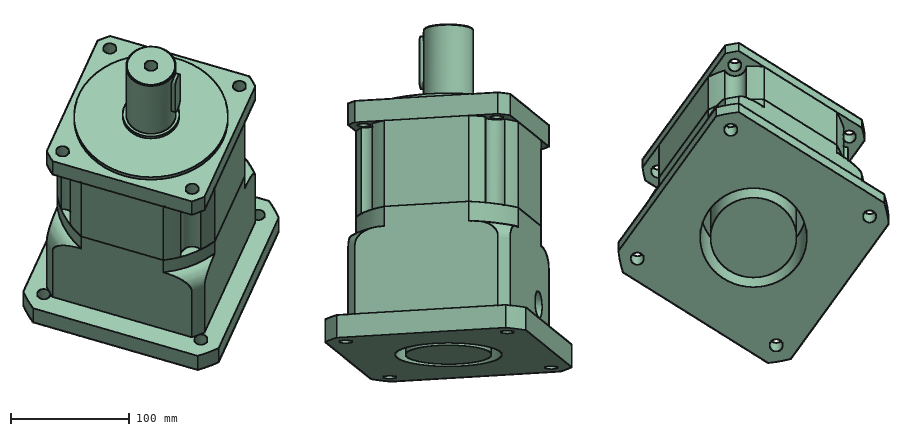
import cadquery as cq
import math


BODY_SIDE = 142.0
BODY_CORNER_RADIUS = 94.8
WAIST_CORNER_RADIUS = 80.0
BASE_SIDE = 176.0
BASE_CORNER_RADIUS = 115.0

BASE_TOP = 19.7
SHOULDER_TOP = 98.5
HOUSING_TOP = 115.3
RING_TOP = 189.8
FLANGE_TOP = 208.5
PILOT_TOP = 212.0
COLLAR_TOP = 215.0
SHAFT_TOP = 282.0

PILOT_RADIUS = 65.1
COLLAR_RADIUS = 24.0
SHAFT_RADIUS = 21.2
SHAFT_CHAMFER = 0.8
CENTRE_HOLE_DIAMETER = 11.0
CENTRE_HOLE_DEPTH = 28.2
DRILL_TIP_ANGLE = 120.0

KEY_WIDTH = 12.0
KEY_BOTTOM = 231.5
KEY_LENGTH = 45.7
KEY_OUTER_X = 24.0

BOLT_HOLE_DIAMETER = 11.0
FLANGE_BOLT_OFFSET = 58.5
BASE_BOLT_OFFSET = 70.8
SCALLOP_RADIUS = 10.0

HUB_RADIUS = 36.5
CAVITY_RADIUS = 45.0
CAVITY_DEPTH = 67.7
ACCESS_HOLE_RADIUS = 11.3
ACCESS_HOLE_Y = -29.0
ACCESS_HOLE_Z = 45.7


def round_cornered_prism(side, corner_radius, bottom, top):
    """Square prism whose corners are cut by a cylinder about the axis."""
    height = top - bottom
    square = cq.Workplane("XY").workplane(offset=bottom).rect(side, side).extrude(height)
    return square.intersect(cylinder(corner_radius, bottom, top))


def cylinder(radius, bottom, top):
    return cq.Workplane("XY").workplane(offset=bottom).circle(radius).extrude(top - bottom)


def corner_cylinders(offset, radius, bottom, top):
    """Four vertical cylinders, one near each corner."""
    spacing = 2 * offset
    centres = cq.Workplane("XY").workplane(offset=bottom).rect(spacing, spacing, forConstruction=True)
    return centres.vertices().circle(radius).extrude(top - bottom)


def make_input_housing():
    """Base plate and square housing with rounded shoulders and a central input hub."""
    base = round_cornered_prism(BASE_SIDE, BASE_CORNER_RADIUS, 0, BASE_TOP)
    base = base.cut(corner_cylinders(BASE_BOLT_OFFSET, BOLT_HOLE_DIAMETER / 2, 0, BASE_TOP))

    shoulder_radius = BODY_CORNER_RADIUS - WAIST_CORNER_RADIUS
    turned = cylinder(BODY_CORNER_RADIUS, BASE_TOP, SHOULDER_TOP).faces(">Z").edges().fillet(shoulder_radius)
    turned = turned.union(cylinder(WAIST_CORNER_RADIUS, BASE_TOP, HOUSING_TOP))
    height = HOUSING_TOP - BASE_TOP
    block = cq.Workplane("XY").workplane(offset=BASE_TOP).rect(BODY_SIDE, BODY_SIDE).extrude(height)
    housing = base.union(block.intersect(turned))

    access_hole = (
        cq.Workplane("YZ")
        .center(ACCESS_HOLE_Y, ACCESS_HOLE_Z)
        .circle(ACCESS_HOLE_RADIUS)
        .extrude(-BODY_SIDE / 2)
    )
    hub = cylinder(HUB_RADIUS, 0, CAVITY_DEPTH)
    cavity = cylinder(CAVITY_RADIUS, 0, CAVITY_DEPTH).union(access_hole).cut(hub)
    return housing.cut(cavity)


def make_gear_ring():
    """Waist section with a scallop at each corner that clears the flange bolts."""
    ring = round_cornered_prism(BODY_SIDE, WAIST_CORNER_RADIUS, HOUSING_TOP, RING_TOP)
    return ring.cut(corner_cylinders(FLANGE_BOLT_OFFSET, SCALLOP_RADIUS, HOUSING_TOP, RING_TOP))


def make_key():
    """Round-ended key, from inside the shaft out to its flat face."""
    return (
        cq.Workplane("YZ")
        .center(0, KEY_BOTTOM + KEY_LENGTH / 2)
        .slot2D(KEY_LENGTH, KEY_WIDTH, 90)
        .extrude(KEY_OUTER_X)
    )


def make_centre_hole():
    """Drilled hole in the shaft end with a conical bottom."""
    radius = CENTRE_HOLE_DIAMETER / 2
    shoulder_z = SHAFT_TOP - CENTRE_HOLE_DEPTH
    tip_z = shoulder_z - radius / math.tan(math.radians(DRILL_TIP_ANGLE / 2))
    profile = [(0, SHAFT_TOP), (radius, SHAFT_TOP), (radius, shoulder_z), (0, tip_z)]
    return cq.Workplane("XZ").polyline(profile).close().revolve(360, (0, 0), (0, 1))


def make_output_flange():
    """Mounting flange with pilot, collar, keyed output shaft and bolt holes."""
    flange = round_cornered_prism(BODY_SIDE, BODY_CORNER_RADIUS, RING_TOP, FLANGE_TOP)
    flange = flange.cut(corner_cylinders(FLANGE_BOLT_OFFSET, BOLT_HOLE_DIAMETER / 2, RING_TOP, FLANGE_TOP))
    pilot = cylinder(PILOT_RADIUS, FLANGE_TOP, PILOT_TOP)
    collar = cylinder(COLLAR_RADIUS, PILOT_TOP, COLLAR_TOP)
    shaft = cylinder(SHAFT_RADIUS, COLLAR_TOP, SHAFT_TOP).faces(">Z").chamfer(SHAFT_CHAMFER)
    shaft = shaft.union(make_key()).cut(make_centre_hole())
    return flange.union(pilot).union(collar).union(shaft)


input_housing = make_input_housing()
gear_ring = make_gear_ring()
output_flange = make_output_flange()

result = cq.Compound.makeCompound([input_housing.val(), gear_ring.val(), output_flange.val()])